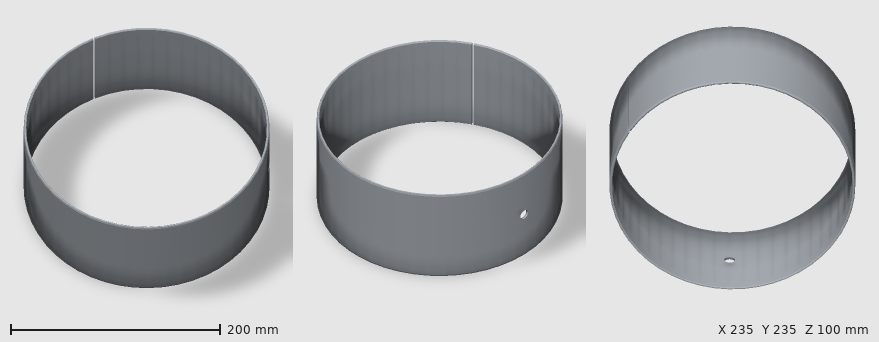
import cadquery as cq
import math

outer_diameter = 235.0
wall_thickness = 2.5
height = 100.0

outer_bevel_width = 0.65
outer_bevel_slope = 20.0
outer_bevel_height = outer_bevel_width / math.tan(math.radians(outer_bevel_slope))
inner_bevel = 0.8

gap_angle = 1.0
gap_end_angle = 180.0

hole_diameter = 10.0
hole_angle_before_gap = 120.0

outer_radius = outer_diameter / 2
inner_radius = outer_radius - wall_thickness
gap_start_angle = gap_end_angle - gap_angle
hole_angle = gap_start_angle - hole_angle_before_gap

origin = (0, 0, 0)
z_direction = (0, 0, 1)


def turn_about_axis(body, angle):
    """Turn a body about the ring axis, counter-clockwise seen from +Z."""
    return body.rotate(origin, z_direction, angle)


def make_split_ring():
    """Revolve the bevelled wall section, leaving the gap open."""
    wall_section = (
        cq.Workplane("XZ")
        .moveTo(inner_radius + inner_bevel, 0)
        .lineTo(outer_radius - outer_bevel_width, 0)
        .lineTo(outer_radius, outer_bevel_height)
        .lineTo(outer_radius, height - outer_bevel_height)
        .lineTo(outer_radius - outer_bevel_width, height)
        .lineTo(inner_radius + inner_bevel, height)
        .lineTo(inner_radius, height - inner_bevel)
        .lineTo(inner_radius, inner_bevel)
        .close()
    )
    ring = wall_section.revolve(360 - gap_angle, (0, 0), (0, 1))
    return turn_about_axis(ring, gap_end_angle)


def make_hole_cutter():
    """Cylinder running from the ring axis out past the wall."""
    cutter_length = outer_radius + wall_thickness
    cutter = (
        cq.Workplane("YZ")
        .center(0, height / 2)
        .circle(hole_diameter / 2)
        .extrude(cutter_length)
    )
    return turn_about_axis(cutter, hole_angle)


result = make_split_ring().cut(make_hole_cutter())